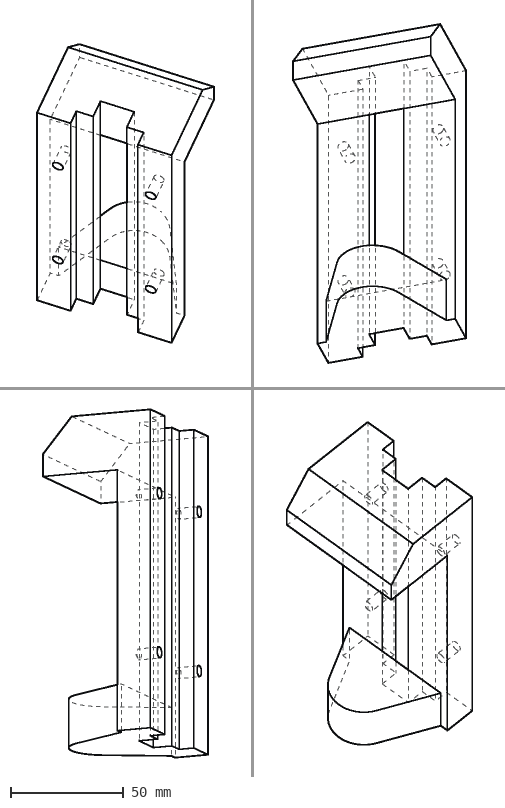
import cadquery as cq
import math

width = 64.0
depth = 52.0
height = 144.0
centre_x = width / 2

plate_depth = 16.0
channel_width = width / 2
channel_depth = 7.0
slot_width = width / 4

hook_height = 26.0
chamfer_depth = 14.0
chamfer_height = 16.0

foot_height = 22.0
foot_root_width = 55.9
foot_radius = 16.0

hole_diameter = 4.9
hole_edge_distance = 10.0
hole_end_distance = height / 4
hole_depth = 10.0
drill_point_angle = 118.0


def make_plate():
    plate = cq.Workplane("XY").box(width, plate_depth, height, centered=False)
    channel = cq.Workplane("XY").box(channel_width, channel_depth, height, centered=False)
    slot = cq.Workplane("XY").box(slot_width, plate_depth, height, centered=False)
    plate = plate.cut(channel.translate((centre_x - channel_width / 2, 0, 0)))
    return plate.cut(slot.translate((centre_x - slot_width / 2, 0, 0)))


def make_hook():
    profile = [
        (plate_depth, height - hook_height),
        (depth, height - hook_height),
        (depth, height - chamfer_height),
        (depth - chamfer_depth, height),
        (plate_depth, height),
    ]
    return cq.Workplane("YZ").polyline(profile).close().extrude(width)


def make_foot():
    nose_y = depth - foot_radius
    root_half = foot_root_width / 2
    reach = nose_y - plate_depth
    root_to_nose = math.hypot(root_half, reach)
    flank_angle = math.acos(foot_radius / root_to_nose) - math.atan2(reach, root_half)
    tangent_x = foot_radius * math.cos(flank_angle)
    tangent_y = nose_y + foot_radius * math.sin(flank_angle)
    return (
        cq.Workplane("XY")
        .moveTo(centre_x - root_half, plate_depth)
        .lineTo(centre_x - tangent_x, tangent_y)
        .threePointArc((centre_x, depth), (centre_x + tangent_x, tangent_y))
        .lineTo(centre_x + root_half, plate_depth)
        .close()
        .extrude(foot_height)
    )


def make_screw_hole(x, z):
    radius = hole_diameter / 2
    point_depth = radius / math.tan(math.radians(drill_point_angle / 2))
    profile = [(0, 0), (radius, 0), (radius, hole_depth), (0, hole_depth + point_depth)]
    drill = cq.Workplane("XY").polyline(profile).close().revolve(360, (0, 0), (0, 1))
    return drill.translate((x, 0, z))


result = make_plate().union(make_hook()).union(make_foot())
for hole_x in (hole_edge_distance, width - hole_edge_distance):
    for hole_z in (hole_end_distance, height - hole_end_distance):
        result = result.cut(make_screw_hole(hole_x, hole_z))